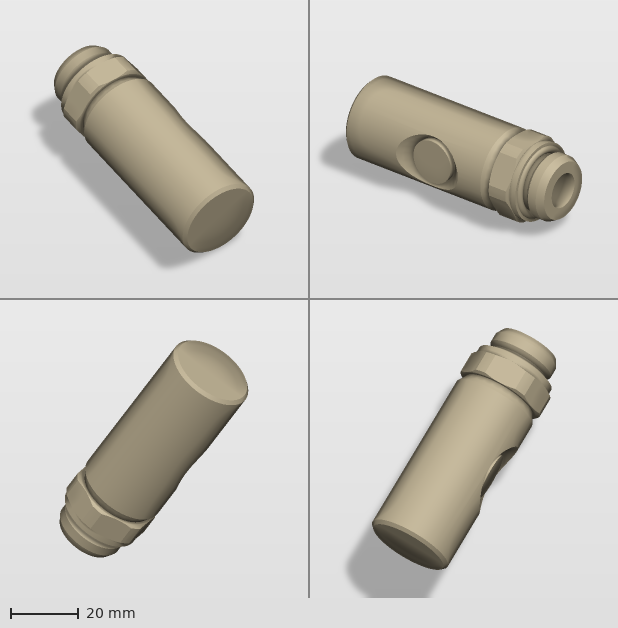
import cadquery as cq
import math

total_length = 72.4
body_diameter = 26.0
body_radius = body_diameter / 2
shoulder_start = 18.0
shoulder_end = 21.0
shoulder_radius = 11.4
end_chamfer = 1.0

nose_tip_radius = 9.1
nose_radius = 10.35
nose_taper_end = 2.25
nose_land_end = 5.15
neck_start = 6.45
neck_radius = 9.05

seal_start = 7.45
seal_section_radius = 1.2
seal_ring_radius = 10.2
collar_start = 8.3
collar_radius = 12.4

nut_start = 10.5
nut_length = shoulder_start - nut_start
nut_sides = 6
nut_across_flats = 25.0
nut_corner_diameter = 27.0
nut_corner_radius = nut_corner_diameter / 2
nut_chamfer_angle = 30.0

bore_radius = 5.5
bore_depth = shoulder_end

button_x = 41.1
button_radius = 7.0
button_height = 10.5
recess_radius = 11.6
recess_angle = 45.0
recess_overcut = 1.45


def turned_body():
    """Nose, seal ring, collar and main cylinder as one revolved profile."""
    seal_centre = seal_start + seal_section_radius
    neck_drop = seal_ring_radius - neck_radius
    seal_at_neck = seal_centre - math.sqrt(seal_section_radius**2 - neck_drop**2)
    collar_gap = seal_centre - collar_start
    seal_at_collar = seal_ring_radius + math.sqrt(seal_section_radius**2 - collar_gap**2)
    profile = (
        cq.Workplane("XY")
        .moveTo(0, 0)
        .lineTo(0, nose_tip_radius)
        .lineTo(nose_taper_end, nose_radius)
        .lineTo(nose_land_end, nose_radius)
        .lineTo(neck_start, neck_radius)
        .lineTo(seal_at_neck, neck_radius)
        .threePointArc((seal_start, seal_ring_radius), (collar_start, seal_at_collar))
        .lineTo(collar_start, collar_radius)
        .lineTo(nut_start, collar_radius)
        .lineTo(nut_start, shoulder_radius)
        .lineTo(shoulder_start, shoulder_radius)
        .lineTo(shoulder_end, body_radius)
        .lineTo(total_length - end_chamfer, body_radius)
        .lineTo(total_length, body_radius - end_chamfer)
        .lineTo(total_length, 0)
        .close()
    )
    return profile.revolve(360, (0, 0, 0), (1, 0, 0))


def hex_nut():
    """Hexagon with corners on +Y and -Y, trimmed by a chamfered cylinder."""
    flat_radius = nut_across_flats / 2
    sharp_corner_diameter = nut_across_flats / math.cos(math.pi / nut_sides)
    chamfer_length = (nut_corner_radius - flat_radius) * math.tan(math.radians(nut_chamfer_angle))
    nut_plane = cq.Workplane("YZ", origin=(nut_start, 0, 0))
    hexagon = nut_plane.polygon(nut_sides, sharp_corner_diameter).extrude(nut_length)
    envelope = (
        cq.Workplane("XY")
        .moveTo(nut_start, 0)
        .lineTo(nut_start, flat_radius)
        .lineTo(nut_start + chamfer_length, nut_corner_radius)
        .lineTo(shoulder_start - chamfer_length, nut_corner_radius)
        .lineTo(shoulder_start, flat_radius)
        .lineTo(shoulder_start, 0)
        .close()
        .revolve(360, (0, 0, 0), (1, 0, 0))
    )
    return hexagon.intersect(envelope)


def button_recess():
    """Cutter that leaves a round button standing inside a conical recess."""
    slope = math.tan(math.radians(recess_angle))
    groove_bottom = body_radius - (recess_radius - button_radius) / slope
    cutter_top = body_radius + recess_overcut
    cutter_radius = recess_radius + recess_overcut * slope
    return (
        cq.Workplane("XY")
        .moveTo(button_x, button_height)
        .lineTo(button_x + button_radius, button_height)
        .lineTo(button_x + button_radius, groove_bottom)
        .lineTo(button_x + cutter_radius, cutter_top)
        .lineTo(button_x, cutter_top)
        .close()
        .revolve(360, (button_x, 0, 0), (button_x, 1, 0))
    )


bore = cq.Workplane("YZ").circle(bore_radius).extrude(bore_depth)

result = turned_body().union(hex_nut()).cut(bore).cut(button_recess())